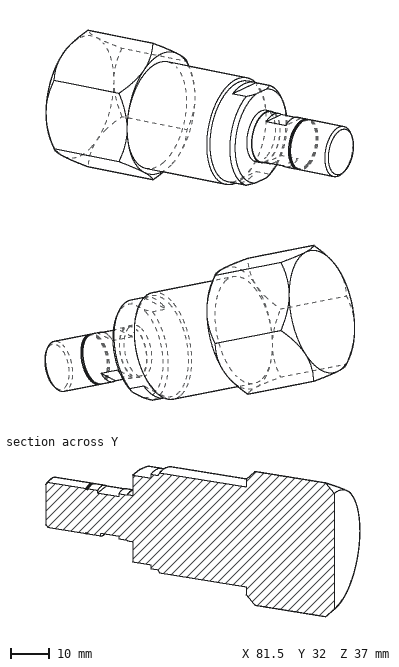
import cadquery as cq
import math

hex_end = 24.9
body_end = 49.9
collar_end = 57.0
step_end = 58.4
groove_start = 69.7
groove_width = 0.5
total_length = 81.5

hex_across_flats = 32.0
body_diameter = 28.0
collar_diameter = 26.5
step_diameter = 13.5
stem_diameter = 13.2
groove_diameter = 12.7

body_chamfer_length = 0.5
body_chamfer_depth = (body_diameter - collar_diameter) / 2
collar_chamfer = 1.0
stem_chamfer = 0.65

collar_flat_start = 51.8
collar_flat_spacing = 24.05

stem_flat_spacing = 11.1
stem_flat_start = 60.9
upper_flat_end = 66.8
lower_flat_end = 65.9


def cylinder(start, end, diameter):
    """Round section along X between two stations."""
    return cq.Workplane("YZ", origin=(start, 0, 0)).circle(diameter / 2).extrude(end - start)


def flat_cutter(start, end, spacing, side):
    """Block above (side = 1) or below (side = -1) a flat at half the spacing."""
    size = body_diameter
    center_z = side * (spacing + size) / 2
    return cq.Workplane("XY").box(end - start, size, size).translate(((start + end) / 2, 0, center_z))


def make_hexagon():
    """Hexagon with corners on Z, its ends turned by 45 degree cones."""
    corner_diameter = hex_across_flats / math.cos(math.pi / 6)
    corner_chamfer = (corner_diameter - hex_across_flats) / 2
    prism = cq.Workplane("YZ").polygon(6, corner_diameter).extrude(hex_end)
    prism = prism.rotate((0, 0, 0), (1, 0, 0), 30)
    turned_blank = cylinder(0, hex_end, corner_diameter).edges().chamfer(corner_chamfer)
    return prism.intersect(turned_blank)


def make_collar():
    """Chamfered collar with two opposite wrench flats."""
    collar = cylinder(body_end, collar_end, collar_diameter).faces(">X").chamfer(collar_chamfer)
    for side in (1, -1):
        collar = collar.cut(flat_cutter(collar_flat_start, collar_end, collar_flat_spacing, side))
    return collar


def make_stem():
    """Slim stem with an end chamfer, a ring groove and two flats."""
    stem = cylinder(step_end, total_length, stem_diameter).faces(">X").chamfer(stem_chamfer)
    groove_end = groove_start + groove_width
    ring = cylinder(groove_start, groove_end, step_diameter)
    stem = stem.cut(ring.cut(cylinder(groove_start, groove_end, groove_diameter)))
    stem = stem.cut(flat_cutter(stem_flat_start, upper_flat_end, stem_flat_spacing, 1))
    return stem.cut(flat_cutter(stem_flat_start, lower_flat_end, stem_flat_spacing, -1))


def make_body():
    """Main barrel, tapering at its end to the collar diameter."""
    radius = body_diameter / 2
    profile = (
        cq.Workplane("XY")
        .moveTo(hex_end, 0)
        .lineTo(hex_end, radius)
        .lineTo(body_end - body_chamfer_length, radius)
        .lineTo(body_end, radius - body_chamfer_depth)
        .lineTo(body_end, 0)
        .close()
    )
    return profile.revolve(360, (0, 0, 0), (1, 0, 0))


step = cylinder(collar_end, step_end, step_diameter)

round_parts = make_body().union(make_collar()).union(step).union(make_stem())

offset_y = (body_diameter - hex_across_flats) / 2

result = make_hexagon().union(round_parts.translate((0, offset_y, 0)))